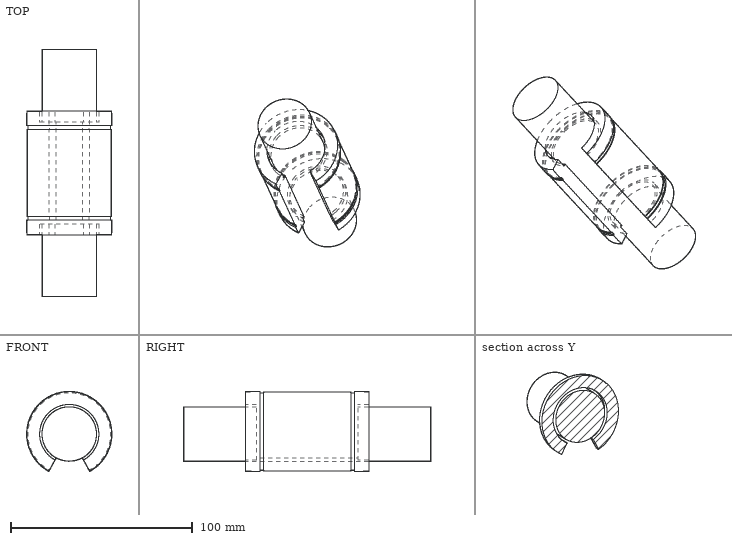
import cadquery as cq
import math

shaft_diameter = 30.0
shaft_length = 136.0

sleeve_length = 68.0
sleeve_diameter = 47.0
body_diameter = 46.45
groove_diameter = 45.5
bore_diameter = 32.6
body_length = 48.0
groove_width = 2.0

taper_length = 3.6
taper_drop = 0.15

opening_angle = 57.2

liner_setback = 6.0
liner_length = sleeve_length - 2 * liner_setback


def cylinder(diameter, length):
    """Cylinder along Y, centred on the origin."""
    return cq.Workplane("XZ").circle(diameter / 2).extrude(length / 2, both=True)


def sleeve_blank():
    """Full-round sleeve with grooves and tapered ends, turned about Y."""
    bore_radius = bore_diameter / 2
    sleeve_radius = sleeve_diameter / 2
    groove_radius = groove_diameter / 2
    body_radius = body_diameter / 2
    end = sleeve_length / 2
    groove_inner = body_length / 2
    groove_outer = groove_inner + groove_width
    half_profile = [
        (bore_radius, end),
        (sleeve_radius - taper_drop, end),
        (sleeve_radius, end - taper_length),
        (sleeve_radius, groove_outer),
        (groove_radius, groove_outer),
        (groove_radius, groove_inner),
        (body_radius, groove_inner),
    ]
    mirrored_half = [(radius, -y) for radius, y in reversed(half_profile)]
    outline = cq.Workplane("XY").polyline(half_profile + mirrored_half).close()
    return outline.revolve(360, (0, 0, 0), (0, 1, 0))


def opening():
    """Wedge with its tip on the shaft axis, widening downward past the sleeve."""
    depth = sleeve_diameter
    half_width = depth * math.tan(math.radians(opening_angle / 2))
    wedge = cq.Workplane("XZ").polyline([(0, 0), (-half_width, -depth), (half_width, -depth)])
    return wedge.close().extrude(sleeve_length, both=True)


liner = cylinder(bore_diameter, liner_length)
bearing = sleeve_blank().union(liner).cut(opening())
result = bearing.union(cylinder(shaft_diameter, shaft_length))